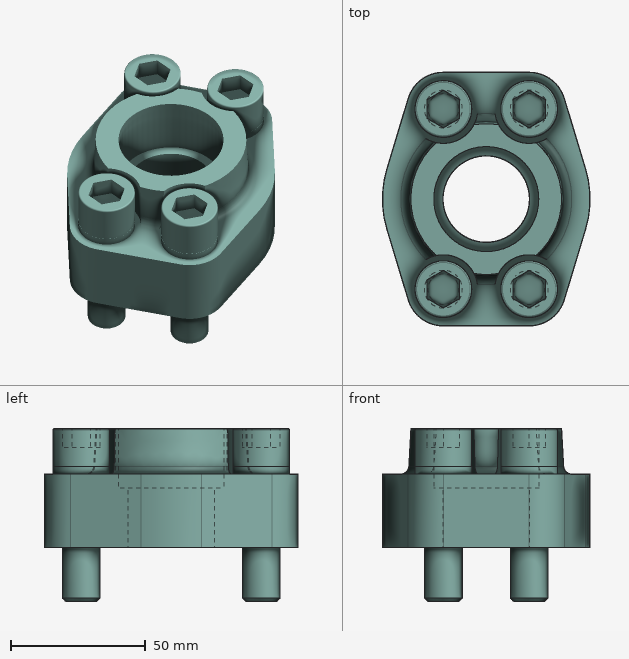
import cadquery as cq
import math

length = 94.0
width = 77.0
plate_thickness = 27.3
screw_x = 15.9
screw_y = 33.4
corner_radius = length / 2 - screw_y
side_radius = width / 2

hub_height = 16.8
hub_top_radius = 27.9
hub_fillet = 3.0
hub_draft = math.radians(3.2)
screw_clearance_diameter = 25.5
bore_diameter = 32.0
socket_diameter = 38.9
socket_depth = 22.0

shank_diameter = 14.0
shank_protrusion = 19.9
shank_chamfer = 1.3
washer_diameter = 21.1
washer_thickness = 2.8
head_diameter = 21.0
head_edge_round = 0.6
hex_across_flats = 12.0
hex_depth = 7.0

top_z = plate_thickness + hub_height
screw_centers = [(sx * screw_x, sy * screw_y) for sx in (-1, 1) for sy in (-1, 1)]


def make_plate():
    """Six-sided plate: end corners round the screws, side arcs round the bore."""
    flank_angle = math.atan2(screw_y, screw_x) - math.acos(
        (side_radius - corner_radius) / math.hypot(screw_x, screw_y)
    )
    cos_flank = math.cos(flank_angle)
    sin_flank = math.sin(flank_angle)
    mid_angle = (flank_angle + math.pi / 2) / 2

    side_end_x = side_radius * cos_flank
    side_end_y = side_radius * sin_flank
    flank_end_x = screw_x + corner_radius * cos_flank
    flank_end_y = screw_y + corner_radius * sin_flank
    corner_mid_x = screw_x + corner_radius * math.cos(mid_angle)
    corner_mid_y = screw_y + corner_radius * math.sin(mid_angle)

    return (
        cq.Workplane("XY")
        .moveTo(side_end_x, -side_end_y)
        .threePointArc((side_radius, 0), (side_end_x, side_end_y))
        .lineTo(flank_end_x, flank_end_y)
        .threePointArc((corner_mid_x, corner_mid_y), (screw_x, length / 2))
        .lineTo(-screw_x, length / 2)
        .threePointArc((-corner_mid_x, corner_mid_y), (-flank_end_x, flank_end_y))
        .lineTo(-side_end_x, side_end_y)
        .threePointArc((-side_radius, 0), (-side_end_x, -side_end_y))
        .lineTo(-flank_end_x, -flank_end_y)
        .threePointArc((-corner_mid_x, -corner_mid_y), (-screw_x, -length / 2))
        .lineTo(screw_x, -length / 2)
        .threePointArc((corner_mid_x, -corner_mid_y), (flank_end_x, -flank_end_y))
        .close()
        .extrude(plate_thickness)
    )


def make_hub():
    """Drafted round hub with a foot fillet, cut back round each screw head."""
    fillet_center_z = plate_thickness + hub_fillet
    fillet_mid_angle = (math.pi / 2 + hub_draft) / 2
    fillet_end_z = fillet_center_z - hub_fillet * math.sin(hub_draft)
    fillet_end_radius = hub_top_radius + (top_z - fillet_end_z) * math.tan(hub_draft)
    foot_radius = fillet_end_radius + hub_fillet * math.cos(hub_draft)
    fillet_mid_radius = foot_radius - hub_fillet * math.cos(fillet_mid_angle)
    fillet_mid_z = fillet_center_z - hub_fillet * math.sin(fillet_mid_angle)
    hub = (
        cq.Workplane("XZ")
        .moveTo(0, plate_thickness)
        .lineTo(foot_radius, plate_thickness)
        .threePointArc((fillet_mid_radius, fillet_mid_z), (fillet_end_radius, fillet_end_z))
        .lineTo(hub_top_radius, top_z)
        .lineTo(0, top_z)
        .close()
        .revolve(360, (0, 0, 0), (0, 1, 0))
    )
    clearance = (
        cq.Workplane("XY", origin=(0, 0, plate_thickness))
        .pushPoints(screw_centers)
        .circle(screw_clearance_diameter / 2)
        .extrude(hub_height)
    )
    return hub.cut(clearance)


def make_bore():
    """Through bore with a wider pipe socket from the top."""
    bore = cq.Workplane("XY").circle(bore_diameter / 2).extrude(top_z)
    socket = (
        cq.Workplane("XY", origin=(0, 0, top_z))
        .circle(socket_diameter / 2)
        .extrude(-socket_depth)
    )
    return bore.union(socket)


def make_screw():
    """Socket head screw on its washer, on the Z axis."""
    shank = (
        cq.Workplane("XY", origin=(0, 0, -shank_protrusion))
        .circle(shank_diameter / 2)
        .extrude(shank_protrusion + plate_thickness)
        .faces("<Z")
        .chamfer(shank_chamfer)
    )
    washer = (
        cq.Workplane("XY", origin=(0, 0, plate_thickness))
        .circle(washer_diameter / 2)
        .extrude(washer_thickness)
    )
    head = (
        cq.Workplane("XY", origin=(0, 0, plate_thickness + washer_thickness))
        .circle(head_diameter / 2)
        .extrude(hub_height - washer_thickness)
        .faces(">Z")
        .edges()
        .fillet(head_edge_round)
    )
    hex_socket = (
        cq.Workplane("XY", origin=(0, 0, top_z))
        .polygon(6, hex_across_flats, circumscribed=True)
        .extrude(-hex_depth)
    )
    return shank.union(washer).union(head).cut(hex_socket)


result = make_plate().union(make_hub()).cut(make_bore())
screw = make_screw()
for x, y in screw_centers:
    result = result.union(screw.translate((x, y, 0)))